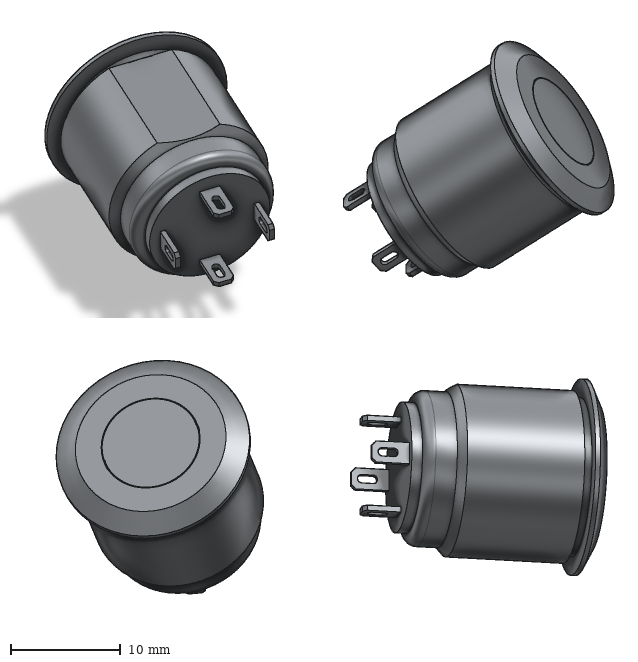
import cadquery as cq

total_length = 21.5
rim_start = 1.03
flange_back = 1.48
collar_end = 2.28
barrel_end = 14.0
shoulder_end = 17.0
stem_end = 18.0

face_radius = 14.02 / 2
flange_radius = 18.0 / 2
collar_radius = 14.6 / 2
shoulder_radius = 14.3 / 2
stem_radius = 12.0 / 2
barrel_chamfer = 0.8
barrel_radius = shoulder_radius + barrel_chamfer
shoulder_fillet = 1.0

flat_height = collar_radius

gap_outer_radius = 9.2 / 2
gap_width = 0.09
gap_depth = 1.0

terminal_width = 2.0
terminal_thickness = 0.5
terminal_chamfer = 0.39
terminal_offset_y = 4.69
terminal_offset_z = 4.25
slot_width = 0.8
slot_length = 1.85
slot_center_x = 20.0


def disc(x_start, x_end, radius):
    """Solid cylinder on the X axis between two stations."""
    return cq.Workplane("YZ", origin=(x_start, 0, 0)).circle(radius).extrude(x_end - x_start)


def make_flange():
    """Front flange: a cone opening from the face to a thin straight rim."""
    profile = [
        (0, 0),
        (0, face_radius),
        (rim_start, flange_radius),
        (flange_back, flange_radius),
        (flange_back, 0),
    ]
    return cq.Workplane("XY").polyline(profile).close().revolve(360, (0, 0, 0), (1, 0, 0))


def make_barrel():
    """Main barrel with a chamfered rear edge and one key flat."""
    barrel = disc(collar_end, barrel_end, barrel_radius).faces(">X").chamfer(barrel_chamfer)
    above_flat = cq.Workplane("XY", origin=(0, 0, flat_height)).rect(
        2 * total_length, 2 * barrel_radius
    ).extrude(barrel_radius)
    return barrel.cut(above_flat)


def make_shoulder():
    """Rear shoulder with a rounded back edge."""
    return disc(barrel_end, shoulder_end, shoulder_radius).faces(">X").edges().fillet(shoulder_fillet)


def make_gap():
    """Ring-shaped cutter for the gap around the push button."""
    inner_radius = gap_outer_radius - gap_width
    return cq.Workplane("YZ").circle(gap_outer_radius).circle(inner_radius).extrude(gap_depth)


def make_terminal():
    """Flat terminal on the X axis, wide in Y, with clipped corners and a slot."""
    length = total_length - stem_end
    blade = (
        cq.Workplane("XY", origin=(stem_end + length / 2, 0, 0))
        .box(length, terminal_width, terminal_thickness)
        .edges(">X and |Z")
        .chamfer(terminal_chamfer)
    )
    slot = (
        cq.Workplane("XY", origin=(slot_center_x, 0, 0))
        .slot2D(slot_length, slot_width)
        .extrude(terminal_thickness, both=True)
    )
    return blade.cut(slot)


housing = (
    make_flange()
    .union(disc(flange_back, collar_end, collar_radius))
    .union(make_barrel())
    .union(make_shoulder())
    .union(disc(shoulder_end, stem_end, stem_radius))
    .cut(make_gap())
)

flat_terminal = make_terminal()
upright_terminal = flat_terminal.rotate((0, 0, 0), (1, 0, 0), 90)

result = housing
for side in (-1, 1):
    result = result.union(flat_terminal.translate((0, 0, side * terminal_offset_z)))
    result = result.union(upright_terminal.translate((0, side * terminal_offset_y, 0)))